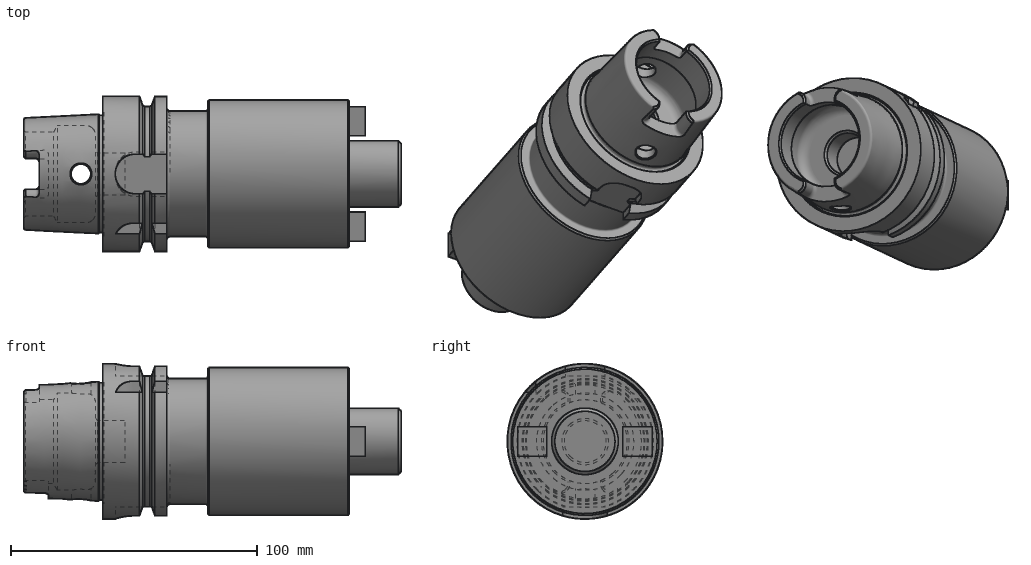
import cadquery as cq
import math


SHANK_LENGTH = 32.0
TAPER_RATIO = 1 / 9.98
TAPER_GAUGE_RADIUS = 24.0
TAPER_GAUGE_X = -6.3
TAPER_END_X = -1.75
SHANK_TIP_ROUND = 1.0
RELIEF_RADIUS = 23.8
RELIEF_DROP_LENGTH = 0.45
RELIEF_FLOOR_RADIUS = 25.1
RELIEF_OUTER_RADIUS = 25.6
RELIEF_FACE_DEPTH = 0.5
RELIEF_ROUND = 0.9

BORE_RADIUS = 17.0
BORE_MOUTH_CHAMFER = 0.7
BORE_LAND_END_X = -20.0
CHAMBER_RADIUS = 19.7
CLAMP_ANGLE = 60.0
CAVITY_FLOOR_X = -3.0
CAVITY_FLOOR_ROUND = 3.9
COOLANT_HOLE_RADIUS = 8.5
COOLANT_HOLE_DEPTH = 12.0
COOLANT_HOLE_CHAMFER = 0.9

ACCESS_HOLE_X = -8.8
ACCESS_HOLE_RADIUS = 4.0
ACCESS_HOLE_CHAMFER = 0.4

DRIVE_SLOT_HALF_WIDTH = 6.2
DRIVE_SLOT_FLARE_Z = 17.0
DRIVE_SLOT_FLARE_RADIUS = 4.0
DRIVE_SLOT_FLOOR_ROUND = 1.5
DRIVE_SLOT_MOUTH_CHAMFER = 0.8
UPPER_DRIVE_SLOT_DEPTH = 6.3
LOWER_DRIVE_SLOT_DEPTH = 10.0

FLANGE_RADIUS = 31.5
FLANGE_WIDTH = 26.0
GRIP_GROOVE_X = 18.05
GRIP_GROOVE_HALF_WIDTH = 3.15
GRIP_GROOVE_RADIUS = 27.4
GRIP_GROOVE_FLOOR_HALF_WIDTH = 0.93
GRIP_GROOVE_BEVEL_RADIUS = 27.7
GRIP_GROOVE_BEVEL_HALF_WIDTH = 1.75

KEYWAY_START_X = 5.1
KEYWAY_FLOOR_Z = 26.5
UPPER_KEYWAY_WIDTH = 16.0
LOWER_KEYWAY_WIDTH = 18.0
KEYWAY_CORNER_RADIUS = 7.99
NOTCH_OFFSET = 20.0
NOTCH_TANGENT_X = 12.1
NOTCH_END_RADIUS = 7.5

NECK_RADIUS = 25.5
NECK_FLANGE_FILLET = 1.2
NECK_BODY_FILLET = 0.75
BODY_RADIUS = 30.0
BODY_START_X = 42.5
BODY_END_X = 100.0
BODY_CHAMFER = 0.75
SPIGOT_RADIUS = 13.5
SPIGOT_END_X = 121.0
SPIGOT_CHAMFER = 1.3

KEY_WIDTH = 12.0
KEY_HEIGHT = 6.4
KEY_INNER_Y = 15.4
KEY_OUTER_Y = 27.3

FULL_TURN = 360.0
CHAMFER_ANGLE = 45.0
PICK_MARGIN = 0.1


def taper_radius(x):
    return TAPER_GAUGE_RADIUS + (x - TAPER_GAUGE_X) * TAPER_RATIO / 2


def revolve_about_x(sketch):
    return sketch.close().revolve(FULL_TURN, (0, 0, 0), (1, 0, 0))


def make_shank():
    tip_x = -SHANK_LENGTH
    fillet_mid = RELIEF_ROUND * (1 - math.sqrt(0.5))
    shank = revolve_about_x(
        cq.Workplane("XY")
        .moveTo(tip_x, 0)
        .lineTo(tip_x, taper_radius(tip_x))
        .lineTo(TAPER_END_X, taper_radius(TAPER_END_X))
        .lineTo(TAPER_END_X + RELIEF_DROP_LENGTH, RELIEF_RADIUS)
        .lineTo(RELIEF_FACE_DEPTH - RELIEF_ROUND, RELIEF_RADIUS)
        .threePointArc(
            (RELIEF_FACE_DEPTH - fillet_mid, RELIEF_RADIUS + fillet_mid),
            (RELIEF_FACE_DEPTH, RELIEF_RADIUS + RELIEF_ROUND),
        )
        .lineTo(RELIEF_FACE_DEPTH, 0)
    )
    shank = shank.faces("<X").edges().fillet(SHANK_TIP_ROUND)
    return drill_access_hole(shank.cut(make_cavity()))


def drill_access_hole(shank):
    """Drill across the hollow shank along Z and chamfer both outer rims."""
    hole = cq.Workplane("XY", origin=(ACCESS_HOLE_X, 0, -FLANGE_RADIUS)).circle(ACCESS_HOLE_RADIUS)
    shank = shank.cut(hole.extrude(2 * FLANGE_RADIUS))
    reach = ACCESS_HOLE_RADIUS + ACCESS_HOLE_CHAMFER
    lowest_rim_z = (taper_radius(ACCESS_HOLE_X) + CHAMBER_RADIUS) / 2
    for side in (1, -1):
        rim = cq.selectors.BoxSelector(
            (ACCESS_HOLE_X - reach, -reach, side * lowest_rim_z),
            (ACCESS_HOLE_X + reach, reach, side * FLANGE_RADIUS),
            boundingbox=True,
        )
        shank = shank.edges(rim).chamfer(ACCESS_HOLE_CHAMFER)
    return shank


def make_flange():
    flange = cq.Workplane("YZ").circle(FLANGE_RADIUS).extrude(FLANGE_WIDTH)
    return flange.cut(make_face_relief()).cut(make_grip_groove())


def make_face_relief():
    """Shallow recess in the flange face, wider than the root of the shank."""
    return revolve_about_x(
        cq.Workplane("XY")
        .lineTo(RELIEF_FACE_DEPTH, 0)
        .lineTo(RELIEF_FACE_DEPTH, RELIEF_FLOOR_RADIUS)
        .lineTo(0, RELIEF_OUTER_RADIUS)
    )


def make_grip_groove():
    """Ring groove with steep walls and bevelled floor corners."""
    return revolve_about_x(
        cq.Workplane("XY")
        .moveTo(GRIP_GROOVE_X - GRIP_GROOVE_FLOOR_HALF_WIDTH, GRIP_GROOVE_RADIUS)
        .lineTo(GRIP_GROOVE_X + GRIP_GROOVE_FLOOR_HALF_WIDTH, GRIP_GROOVE_RADIUS)
        .lineTo(GRIP_GROOVE_X + GRIP_GROOVE_BEVEL_HALF_WIDTH, GRIP_GROOVE_BEVEL_RADIUS)
        .lineTo(GRIP_GROOVE_X + GRIP_GROOVE_HALF_WIDTH, FLANGE_RADIUS)
        .lineTo(GRIP_GROOVE_X - GRIP_GROOVE_HALF_WIDTH, FLANGE_RADIUS)
        .lineTo(GRIP_GROOVE_X - GRIP_GROOVE_BEVEL_HALF_WIDTH, GRIP_GROOVE_BEVEL_RADIUS)
    )


def make_keyway(width):
    """Keyway on the +Z side with a rounded end, open at the rear of the flange."""
    length = FLANGE_WIDTH - KEYWAY_START_X
    keyway = cq.Workplane("XY").box(length, width, FLANGE_RADIUS, centered=(False, True, False))
    keyway = keyway.edges("|Z and <X").fillet(KEYWAY_CORNER_RADIUS)
    return keyway.translate((KEYWAY_START_X, 0, KEYWAY_FLOOR_Z))


def make_orientation_notch():
    """Square notch in the -Y, +Z quarter of the flange, ending in a cutter radius."""
    outer_y = -NOTCH_OFFSET - NOTCH_END_RADIUS
    mid = NOTCH_END_RADIUS * math.sqrt(0.5)
    return (
        cq.Workplane("XY", origin=(0, 0, NOTCH_OFFSET))
        .moveTo(FLANGE_WIDTH, -NOTCH_OFFSET)
        .lineTo(NOTCH_TANGENT_X, -NOTCH_OFFSET)
        .threePointArc(
            (NOTCH_TANGENT_X - mid, outer_y + mid),
            (NOTCH_TANGENT_X - NOTCH_END_RADIUS, outer_y),
        )
        .lineTo(FLANGE_WIDTH, outer_y)
        .close()
        .extrude(FLANGE_RADIUS - NOTCH_OFFSET)
    )


def make_neck_and_body():
    fillet_mid = 1 - math.sqrt(0.5)
    front_fillet = NECK_FLANGE_FILLET
    rear_fillet = NECK_BODY_FILLET
    return revolve_about_x(
        cq.Workplane("XY")
        .moveTo(FLANGE_WIDTH, 0)
        .lineTo(FLANGE_WIDTH, NECK_RADIUS + front_fillet)
        .threePointArc(
            (FLANGE_WIDTH + fillet_mid * front_fillet, NECK_RADIUS + fillet_mid * front_fillet),
            (FLANGE_WIDTH + front_fillet, NECK_RADIUS),
        )
        .lineTo(BODY_START_X - rear_fillet, NECK_RADIUS)
        .threePointArc(
            (BODY_START_X - fillet_mid * rear_fillet, NECK_RADIUS + fillet_mid * rear_fillet),
            (BODY_START_X, NECK_RADIUS + rear_fillet),
        )
        .lineTo(BODY_START_X, BODY_RADIUS - BODY_CHAMFER)
        .lineTo(BODY_START_X + BODY_CHAMFER, BODY_RADIUS)
        .lineTo(BODY_END_X - BODY_CHAMFER, BODY_RADIUS)
        .lineTo(BODY_END_X, BODY_RADIUS - BODY_CHAMFER)
        .lineTo(BODY_END_X, SPIGOT_RADIUS)
        .lineTo(SPIGOT_END_X - SPIGOT_CHAMFER, SPIGOT_RADIUS)
        .lineTo(SPIGOT_END_X, SPIGOT_RADIUS - SPIGOT_CHAMFER)
        .lineTo(SPIGOT_END_X, 0)
    )


def make_drive_key(side):
    """Rectangular key on the body end face; side is +1 or -1 along Y."""
    key = cq.Workplane("XY").box(KEY_HEIGHT, KEY_OUTER_Y - KEY_INNER_Y, KEY_WIDTH)
    return key.translate((BODY_END_X + KEY_HEIGHT / 2, side * (KEY_INNER_Y + KEY_OUTER_Y) / 2, 0))


def make_cavity():
    """Bore with a wider chamber behind the clamping shoulder and a rounded floor."""
    tip_x = -SHANK_LENGTH
    shoulder_length = (CHAMBER_RADIUS - BORE_RADIUS) / math.tan(math.radians(CLAMP_ANGLE))
    chamber_start = BORE_LAND_END_X + shoulder_length
    cavity = revolve_about_x(
        cq.Workplane("XY")
        .moveTo(tip_x, 0)
        .lineTo(tip_x, BORE_RADIUS + BORE_MOUTH_CHAMFER)
        .lineTo(tip_x + BORE_MOUTH_CHAMFER, BORE_RADIUS)
        .lineTo(BORE_LAND_END_X, BORE_RADIUS)
        .lineTo(chamber_start, CHAMBER_RADIUS)
        .lineTo(CAVITY_FLOOR_X, CHAMBER_RADIUS)
        .lineTo(CAVITY_FLOOR_X, 0)
    )
    return cavity.faces(">X").edges().fillet(CAVITY_FLOOR_ROUND)


def make_coolant_hole():
    """Blind hole in the cavity floor, with a chamfered rim."""
    return revolve_about_x(
        cq.Workplane("XY")
        .moveTo(CAVITY_FLOOR_X, 0)
        .lineTo(CAVITY_FLOOR_X, COOLANT_HOLE_RADIUS + COOLANT_HOLE_CHAMFER)
        .lineTo(CAVITY_FLOOR_X + COOLANT_HOLE_CHAMFER, COOLANT_HOLE_RADIUS)
        .lineTo(CAVITY_FLOOR_X + COOLANT_HOLE_DEPTH, COOLANT_HOLE_RADIUS)
        .lineTo(CAVITY_FLOOR_X + COOLANT_HOLE_DEPTH, 0)
    )


def drive_slot_outline(start_x, growth):
    """Slot section in the YZ plane: straight walls that flare outward, grown sideways by growth."""
    half_width = DRIVE_SLOT_HALF_WIDTH + growth
    flare = DRIVE_SLOT_FLARE_RADIUS - growth
    mid = flare * math.sqrt(0.5)
    outer_y = half_width + flare
    flare_top = DRIVE_SLOT_FLARE_Z + flare
    roof_z = taper_radius(0)
    return (
        cq.Workplane("YZ", origin=(start_x, 0, 0))
        .moveTo(-half_width, 0)
        .lineTo(half_width, 0)
        .lineTo(half_width, DRIVE_SLOT_FLARE_Z)
        .threePointArc((outer_y - mid, DRIVE_SLOT_FLARE_Z + mid), (outer_y, flare_top))
        .lineTo(outer_y, roof_z)
        .lineTo(-outer_y, roof_z)
        .lineTo(-outer_y, flare_top)
        .threePointArc((mid - outer_y, DRIVE_SLOT_FLARE_Z + mid), (-half_width, DRIVE_SLOT_FLARE_Z))
        .close()
    )


def make_drive_slot(depth):
    """Drive slot on the +Z side, with a rounded floor and a chamfered mouth."""
    slot = drive_slot_outline(-SHANK_LENGTH, 0).extrude(depth)
    floor_x = depth - SHANK_LENGTH
    floor_walls = cq.selectors.BoxSelector(
        (floor_x - PICK_MARGIN, -FLANGE_RADIUS, PICK_MARGIN),
        (floor_x + PICK_MARGIN, FLANGE_RADIUS, taper_radius(0) - PICK_MARGIN),
    )
    slot = slot.edges(floor_walls).fillet(DRIVE_SLOT_FLOOR_ROUND)
    mouth = drive_slot_outline(-SHANK_LENGTH, DRIVE_SLOT_MOUTH_CHAMFER).extrude(
        DRIVE_SLOT_MOUTH_CHAMFER, taper=CHAMFER_ANGLE
    )
    return slot.union(mouth)


result = make_shank().union(make_flange()).union(make_neck_and_body())
for key_side in (1, -1):
    result = result.union(make_drive_key(key_side))
result = result.cut(make_coolant_hole())
result = result.cut(make_keyway(UPPER_KEYWAY_WIDTH))
result = result.cut(make_keyway(LOWER_KEYWAY_WIDTH).mirror("XY"))
result = result.cut(make_orientation_notch())
result = result.cut(make_drive_slot(UPPER_DRIVE_SLOT_DEPTH))
result = result.cut(make_drive_slot(LOWER_DRIVE_SLOT_DEPTH).mirror("XY"))